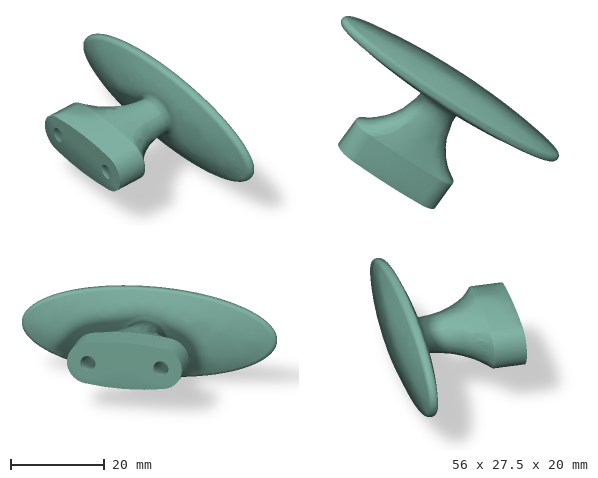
import cadquery as cq
import math

BASE_LENGTH = 7.0
BASE_HALF_WIDTH = 12.6
BASE_HALF_HEIGHT = 5.2
END_RADIUS_RATIO = 0.88

HOLE_DIAMETER = 3.3
HOLE_SPACING = 16.0
HOLE_DEPTH = 7.0
DRILL_POINT_ANGLE = 118.0

OVERALL_DEPTH = 27.5
GRIP_HALF_LENGTH = 28.0
GRIP_HALF_HEIGHT = 10.0
GRIP_THICKNESS = 7.0
GRIP_DOME_RADIUS = 20.0
GRIP_EDGE_FILLET = 1.0

NECK_TOP_HALF_WIDTH = 4.6
NECK_TOP_HALF_HEIGHT = 3.45
NECK_WIDTH_ARC_RADIUS = 15.1
NECK_HEIGHT_ARC_RADIUS = 140.0
NECK_SECTION_COUNT = 7
NECK_EMBED = 1.0
NECK_FILLET = 1.0
NECK_FILLET_REACH = 1.0
FOOT_FILLET = 0.5

GRIP_FRONT = OVERALL_DEPTH - GRIP_THICKNESS
NECK_END = GRIP_FRONT + NECK_EMBED


def plane_at(depth):
    """Plane across the part at the given Y; its local axes are X and Z, its normal is +Y."""
    return cq.Plane(origin=(0, depth, 0), xDir=(-1, 0, 0), normal=(0, 1, 0))


def oval(workplane, half_width, half_height):
    """Oval of two round ends joined by two shallow arcs tangent to them."""
    end_radius = END_RADIUS_RATIO * half_height
    end_center = half_width - end_radius
    side_radius = (end_center**2 + half_height**2 - end_radius**2) / (2 * (half_height - end_radius))
    lean = math.asin(end_center / (side_radius - end_radius))
    x = side_radius * math.sin(lean)
    y = end_radius * math.cos(lean)
    return (
        workplane.moveTo(-x, y)
        .threePointArc((0, half_height), (x, y))
        .threePointArc((half_width, 0), (x, -y))
        .threePointArc((0, -half_height), (-x, -y))
        .threePointArc((-half_width, 0), (-x, y))
        .close()
    )


def concave_arc(start, end, radius, depth):
    """Half size at the given depth on an inward-bowed arc between two (half size, depth) points."""
    run = start[0] - end[0]
    rise = end[1] - start[1]
    chord = math.hypot(run, rise)
    center_offset = math.sqrt(radius**2 - (chord / 2) ** 2)
    center_size = (start[0] + end[0]) / 2 + center_offset * rise / chord
    center_depth = (start[1] + end[1]) / 2 + center_offset * run / chord
    return center_size - math.sqrt(radius**2 - (depth - center_depth) ** 2)


def make_base():
    return oval(cq.Workplane(plane_at(0)), BASE_HALF_WIDTH, BASE_HALF_HEIGHT).extrude(BASE_LENGTH)


def make_neck():
    foot_width = (BASE_HALF_WIDTH, BASE_LENGTH)
    foot_height = (BASE_HALF_HEIGHT, BASE_LENGTH)
    top_width = (NECK_TOP_HALF_WIDTH, NECK_END)
    top_height = (NECK_TOP_HALF_HEIGHT, NECK_END)
    step = (NECK_END - BASE_LENGTH) / (NECK_SECTION_COUNT - 1)
    sections = cq.Workplane(plane_at(BASE_LENGTH))
    for index in range(NECK_SECTION_COUNT):
        depth = BASE_LENGTH + index * step
        half_width = concave_arc(foot_width, top_width, NECK_WIDTH_ARC_RADIUS, depth)
        half_height = concave_arc(foot_height, top_height, NECK_HEIGHT_ARC_RADIUS, depth)
        if index > 0:
            sections = sections.workplane(offset=step)
        sections = oval(sections, half_width, half_height)
    return sections.loft(combine=True)


def make_lens():
    """Round lens stretched along X so that its domes follow the ellipse of the grip."""
    back = cq.Workplane("XY").sphere(GRIP_DOME_RADIUS).translate((0, OVERALL_DEPTH - GRIP_DOME_RADIUS, 0))
    front = cq.Workplane("XY").sphere(GRIP_DOME_RADIUS).translate((0, GRIP_FRONT + GRIP_DOME_RADIUS, 0))
    stretch = GRIP_HALF_LENGTH / GRIP_HALF_HEIGHT
    matrix = cq.Matrix([[stretch, 0, 0, 0], [0, 1, 0, 0], [0, 0, 1, 0]])
    return cq.Workplane(back.intersect(front).val().transformGeometry(matrix))


def make_grip():
    cylinder = (
        cq.Workplane(plane_at(GRIP_FRONT))
        .ellipse(GRIP_HALF_LENGTH, GRIP_HALF_HEIGHT)
        .extrude(GRIP_THICKNESS)
    )
    grip = cylinder.intersect(make_lens())
    return grip.edges().fillet(GRIP_EDGE_FILLET)


def make_hole(x):
    radius = HOLE_DIAMETER / 2
    point_length = radius / math.tan(math.radians(DRILL_POINT_ANGLE / 2))
    return (
        cq.Workplane("XY")
        .polyline([(0, 0), (radius, 0), (radius, HOLE_DEPTH), (0, HOLE_DEPTH + point_length)])
        .close()
        .revolve(360, (0, 0, 0), (0, 1, 0))
        .translate((x, 0, 0))
    )


def neck_joint(body):
    """Edges where the neck runs into the front dome of the grip."""
    half_size = NECK_TOP_HALF_WIDTH + NECK_FILLET_REACH
    low_corner = (-half_size, GRIP_FRONT - NECK_FILLET_REACH, -half_size)
    high_corner = (half_size, GRIP_FRONT + NECK_FILLET_REACH, half_size)
    return body.edges(cq.selectors.BoxSelector(low_corner, high_corner, boundingbox=True))


def neck_foot(body):
    """Edges where the neck rises from the rim of the base."""
    half_size = BASE_HALF_WIDTH + NECK_FILLET_REACH
    low_corner = (-half_size, BASE_LENGTH - FOOT_FILLET, -half_size)
    high_corner = (half_size, BASE_LENGTH + FOOT_FILLET, half_size)
    return body.edges(cq.selectors.BoxSelector(low_corner, high_corner, boundingbox=True))


handle = make_base().union(make_neck()).union(make_grip())
handle = neck_joint(handle).fillet(NECK_FILLET)
handle = neck_foot(handle).fillet(FOOT_FILLET)
for side in (-1, 1):
    handle = handle.cut(make_hole(side * HOLE_SPACING / 2))

result = handle